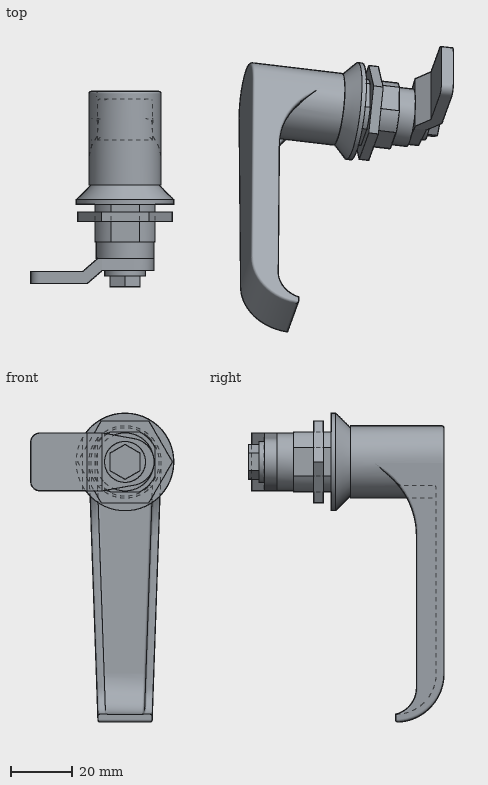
import cadquery as cq
import math


HUB_RADIUS = 11.85
HANDLE_BACK = 37.0
EDGE_ROUND = 0.85
GRIP_DEPTH = 9.1
GRIP_BOTTOM = -85.24
GRIP_TAPER = math.radians(2.0)
WALL = 2.6
RIM_ROUND = 0.75
RIM_LIP = 0.05
BEND_RADIUS = 15.9
ROOT_RADIUS = 25.7
ROOT_START = -24.0
TIP_CURVE_START = -74.0
CUTTER_MARGIN = 5.0

FLANGE_RADIUS = 16.0
FLANGE_RIM = 1.5
FLANGE_CHAMFER = 4.8
BARREL_DIAMETER = 21.8
BARREL_FLATS = 19.7
BARREL_LENGTH = 12.3
NECK_RADIUS = 9.5
NECK_END = 17.75

NUT_FLATS = 26.9
NUT_THICKNESS = 3.2
NUT_GAP = 2.5

CAM_THICKNESS = 4.0
CAM_HALF_WIDTH = 9.5
CAM_REACH = 30.91
CAM_OFFSET = 4.25
CAM_BEND_START = 7.5
CAM_BEND_RUN = 4.9
CAM_NOSE_RADIUS = 7.7
CAM_CORNER = 3.1

BOLT_FLATS = 9.9
WASHER_RADIUS = 6.7
WASHER_THICKNESS = 1.8
HEAD_HEIGHT = 3.53

CONE_TOP = FLANGE_RIM + FLANGE_CHAMFER
CONE_TOP_RADIUS = FLANGE_RADIUS - FLANGE_CHAMFER
CAM_FRONT = NECK_END + CAM_THICKNESS
GRIP_FRONT = HANDLE_BACK - GRIP_DEPTH
TIP_Y = HANDLE_BACK - BEND_RADIUS
BEND_Z = GRIP_BOTTOM + BEND_RADIUS
FLOOR_Y = HANDLE_BACK - WALL
FLOOR_TIP_Z = GRIP_BOTTOM + WALL
RIM_MIDDLE = (ROOT_START + TIP_CURVE_START) / 2
BACK_MIDDLE = BEND_Z / 2


def across_lock_axis(depth):
    """Workplane across the lock axis, `depth` in front of the mounting face, facing -Y."""
    return cq.Workplane("XZ", origin=(0, -depth, 0))


def hexagon(plane, flats, height, turn):
    corner_circle = flats / math.cos(math.pi / 6)
    return plane.transformed(rotate=(0, 0, turn)).polygon(6, corner_circle).extrude(height)


def arc_middle(center_y, center_z, radius, end_angle):
    """Middle of an arc in the YZ plane that runs from the +Y direction to `end_angle`."""
    angle = end_angle / 2
    return (center_y + radius * math.cos(angle), center_z + radius * math.sin(angle))


def round_edges(body, points, radius):
    """Round the edges nearest to the points, and the edges that run on smoothly from them."""
    picked = [body.edges(cq.selectors.NearestToPointSelector(p)).val() for p in points]
    return body.newObject(picked).fillet(radius)




def grip_half_width(z):
    """Half width of the grip, whose sides are tangent to the hub."""
    return HUB_RADIUS / math.cos(GRIP_TAPER) + z * math.tan(GRIP_TAPER)


def hollow_half_width(z):
    return grip_half_width(z) - WALL


def side_points(half_width, y, z):
    """The left and the right point of the grip at one depth and height."""
    return [(side * half_width(z), y, z) for side in (-1, 1)]


def tapered_block(half_width):
    """Block with tapered sides that reaches from the hub tangents past the tip."""
    top = -HUB_RADIUS * math.sin(GRIP_TAPER)
    low = GRIP_BOTTOM - CUTTER_MARGIN
    outline = [
        (-half_width(top), top),
        (half_width(top), top),
        (half_width(low), low),
        (-half_width(low), low),
    ]
    plane = cq.Workplane("XZ", origin=(0, HANDLE_BACK, 0))
    return plane.polyline(outline).close().extrude(HANDLE_BACK)


def grip_blank():
    """Solid grip with its outer rims rounded."""
    root_center_y = GRIP_FRONT - ROOT_RADIUS
    root_angle = math.asin(-ROOT_START / ROOT_RADIUS)
    root_end_y = root_center_y + ROOT_RADIUS * math.cos(root_angle)

    tip_top = FLOOR_TIP_Z + RIM_LIP
    drop = TIP_CURVE_START - tip_top
    run = GRIP_FRONT - TIP_Y
    tip_radius = (drop**2 + run**2) / (2 * run)
    tip_angle = -math.asin(drop / tip_radius)

    blank = (
        cq.Workplane("YZ")
        .moveTo(HANDLE_BACK, 0)
        .lineTo(HANDLE_BACK, BEND_Z)
        .threePointArc(arc_middle(TIP_Y, BEND_Z, BEND_RADIUS, -math.pi / 2), (TIP_Y, GRIP_BOTTOM))
        .lineTo(TIP_Y, tip_top)
        .threePointArc(
            arc_middle(GRIP_FRONT - tip_radius, TIP_CURVE_START, tip_radius, tip_angle),
            (GRIP_FRONT, TIP_CURVE_START),
        )
        .lineTo(GRIP_FRONT, ROOT_START)
        .threePointArc(
            arc_middle(root_center_y, ROOT_START, ROOT_RADIUS, root_angle), (root_end_y, 0)
        )
        .close()
        .extrude(FLANGE_RADIUS, both=True)
        .intersect(tapered_block(grip_half_width))
    )
    return round_edges(blank, side_points(grip_half_width, GRIP_FRONT, RIM_MIDDLE), RIM_ROUND)


def grip_hollow():
    """Space inside the grip: its floor follows the outer face and runs out at the tip."""
    floor_bend = arc_middle(TIP_Y, BEND_Z, BEND_RADIUS - WALL, -math.pi / 2)
    hollow = (
        cq.Workplane("YZ")
        .moveTo(FLOOR_Y, 0)
        .lineTo(FLOOR_Y, BEND_Z)
        .threePointArc(floor_bend, (TIP_Y, FLOOR_TIP_Z))
        .lineTo(0, FLOOR_TIP_Z)
        .lineTo(0, 0)
        .close()
        .extrude(FLANGE_RADIUS, both=True)
        .intersect(tapered_block(hollow_half_width))
    )
    return round_edges(hollow, side_points(hollow_half_width, FLOOR_Y, BACK_MIDDLE), RIM_ROUND)


def turned_core():
    """Neck, flange with its conical back, and hub, turned about the lock axis."""
    half_section = [
        (-NECK_END, 0),
        (-NECK_END, NECK_RADIUS),
        (0, NECK_RADIUS),
        (0, FLANGE_RADIUS),
        (FLANGE_RIM, FLANGE_RADIUS),
        (CONE_TOP, CONE_TOP_RADIUS),
        (CONE_TOP, HUB_RADIUS),
        (HANDLE_BACK, HUB_RADIUS),
        (HANDLE_BACK, 0),
    ]
    return cq.Workplane("YZ").polyline(half_section).close().revolve(360, (0, 0, 0), (1, 0, 0))


def barrel():
    """Round barrel with four flats."""
    square = across_lock_axis(0).rect(BARREL_FLATS, BARREL_FLATS).extrude(BARREL_LENGTH)
    return across_lock_axis(0).circle(BARREL_DIAMETER / 2).extrude(BARREL_LENGTH).intersect(square)


def make_handle_lock():
    grip = grip_blank().cut(grip_hollow())
    grip = round_edges(grip, side_points(hollow_half_width, GRIP_FRONT, RIM_MIDDLE), RIM_ROUND)
    back_edges = side_points(grip_half_width, HANDLE_BACK, BACK_MIDDLE)
    tip_edge = (0, TIP_Y, GRIP_BOTTOM)
    handle = round_edges(grip.union(turned_core()), [*back_edges, tip_edge], EDGE_ROUND)
    return handle.union(barrel())




def make_nut():
    return hexagon(across_lock_axis(NUT_GAP), NUT_FLATS, NUT_THICKNESS, 0).cut(barrel())




def cam_side():
    """Cranked plate of even thickness, before its outline is cut."""
    bend_end = CAM_BEND_START + CAM_BEND_RUN
    bend_angle = math.atan2(CAM_OFFSET, CAM_BEND_RUN)
    back_shift = CAM_THICKNESS * math.tan(bend_angle / 2)
    section = [
        (NECK_RADIUS, -NECK_END),
        (-CAM_BEND_START - back_shift, -NECK_END),
        (-bend_end - back_shift, -NECK_END - CAM_OFFSET),
        (-CAM_REACH, -NECK_END - CAM_OFFSET),
        (-CAM_REACH, -CAM_FRONT - CAM_OFFSET),
        (-bend_end, -CAM_FRONT - CAM_OFFSET),
        (-CAM_BEND_START, -CAM_FRONT),
        (NECK_RADIUS, -CAM_FRONT),
    ]
    return cq.Workplane("XY").polyline(section).close().extrude(CAM_HALF_WIDTH, both=True)


def cam_outline():
    """Arm with two round corners and a nose with sides tangent to its round end."""
    nose_center = NECK_RADIUS - CAM_NOSE_RADIUS
    run = CAM_BEND_START + nose_center
    corner_direction = math.atan2(CAM_HALF_WIDTH, -run)
    corner_distance = math.hypot(run, CAM_HALF_WIDTH)
    tangent_angle = corner_direction - math.acos(CAM_NOSE_RADIUS / corner_distance)
    tangent_x = nose_center + CAM_NOSE_RADIUS * math.cos(tangent_angle)
    tangent_z = CAM_NOSE_RADIUS * math.sin(tangent_angle)
    return (
        across_lock_axis(0)
        .moveTo(-CAM_REACH, -CAM_HALF_WIDTH)
        .lineTo(-CAM_BEND_START, -CAM_HALF_WIDTH)
        .lineTo(tangent_x, -tangent_z)
        .threePointArc((NECK_RADIUS, 0), (tangent_x, tangent_z))
        .lineTo(-CAM_BEND_START, CAM_HALF_WIDTH)
        .lineTo(-CAM_REACH, CAM_HALF_WIDTH)
        .close()
        .extrude(CAM_FRONT + CAM_OFFSET)
        .edges("|Y and <X")
        .fillet(CAM_CORNER)
    )


def make_cam():
    return cam_side().intersect(cam_outline())




def make_bolt():
    """Hexagon head with a round washer face."""
    washer = across_lock_axis(CAM_FRONT).circle(WASHER_RADIUS).extrude(WASHER_THICKNESS)
    head = hexagon(across_lock_axis(CAM_FRONT + WASHER_THICKNESS), BOLT_FLATS, HEAD_HEIGHT, 30)
    return washer.union(head)


handle_lock = make_handle_lock()
nut = make_nut()
cam = make_cam()
bolt = make_bolt()
result = cq.Compound.makeCompound(
    [body.solids().val() for body in (handle_lock, nut, cam, bolt)]
)